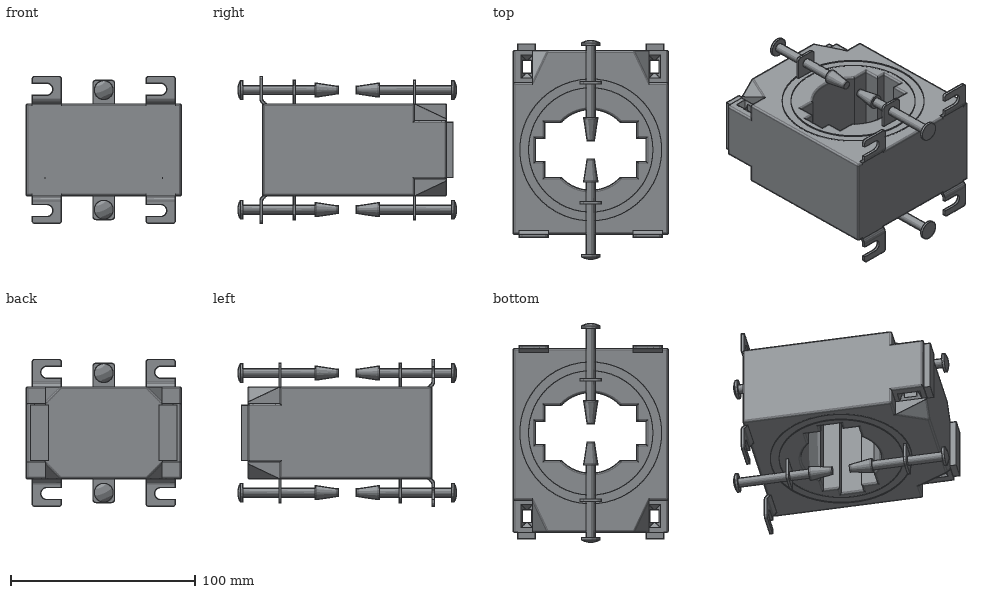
import cadquery as cq
import math


HOUSING_WIDTH = 84.5
HOUSING_LENGTH = 100.0
HOUSING_HEIGHT = 50.0
FRONT_Y = -45.9
REAR_Y = FRONT_Y + HOUSING_LENGTH
HALF_WIDTH = HOUSING_WIDTH / 2
HALF_HEIGHT = HOUSING_HEIGHT / 2
EDGE_RADIUS = 1.0

POCKET_WIDTH = 10.7
POCKET_LENGTH = 17.4
POCKET_DEPTH = 9.0
SLOPE_SIZE = 8.2
POCKET_INNER_X = HALF_WIDTH - POCKET_WIDTH
POCKET_FRONT_Y = REAR_Y - POCKET_LENGTH
POCKET_FLOOR_Z = HALF_HEIGHT - POCKET_DEPTH

FUNNEL_WIDTH = 6.3
FUNNEL_LENGTH = 12.5
FUNNEL_DEPTH = 5.0
FUNNEL_WALL_ANGLE = 60.0
FUNNEL_Y = 45.2
FUNNEL_X = POCKET_INNER_X + FUNNEL_WIDTH / 2
PASSAGE_WIDTH = 4.8
PASSAGE_LENGTH = 6.9

BORE_RADIUS = 21.9
WIDE_SLOT = (60.0, 12.4)
TALL_SLOT = (50.0, 29.8)

GROOVE_OUTER_RADIUS = 38.5
GROOVE_INNER_RADIUS = 33.8
GROOVE_DEPTH = 0.6

FOOT_WIDTH = 16.0
FOOT_LEFT_EDGES = (-38.9, 23.0)
FOOT_TOP_Z = 40.0
FOOT_THICKNESS = 1.5
FOOT_STEP = 1.5
FOOT_BEND_ANGLE = 45.0
FOOT_BEND_RADIUS = 2.7
FOOT_CORNER_RADIUS = 1.5
FOOT_SLOT_LENGTH = 11.2
FOOT_SLOT_WIDTH = 6.4
FOOT_SLOT_Z = 33.0

SCREW_Z = 32.5
SCREW_HALF_SPAN = 59.5
SHANK_RADIUS = 2.5
HEAD_RADIUS = 5.1
HEAD_HEIGHT = 2.7
HEAD_RIM = 1.3
TIP_Y = 4.9
TIP_RADIUS = 2.1
TIP_LENGTH = 0.8
CONE_LENGTH = 11.0
CONE_RADIUS = 3.8
COLLAR_LENGTH = 0.8
LUG_WIDTH = 11.9
LUG_TOP_Z = 38.0
LUG_THICKNESS = 1.3
LUG_CORNER_RADIUS = 1.9
FRONT_LUG_Y = -28.8
REAR_LUG_Y = 36.5

TERMINAL_WIDTH = 9.6
TERMINAL_DEPTH = 3.6
TERMINAL_HEIGHT = 30.2
TERMINAL_X = 34.9

TOLERANCE = 0.01

SIDES = (-1, 1)


def in_all_quarters(shape):
    """The shape with its mirror images about x = 0 and z = 0."""
    pair = shape.union(shape.mirror("YZ"))
    return pair.union(pair.mirror("XY"))


def corner_pocket():
    """Square-sided pocket removed at the rear, +X, +Z corner."""
    pocket = cq.Workplane("XY").box(POCKET_WIDTH, POCKET_LENGTH, POCKET_DEPTH, centered=False)
    return pocket.translate((POCKET_INNER_X, POCKET_FRONT_Y, POCKET_FLOOR_Z))


def corner_slope():
    """Tetrahedron that slopes the inner side of the corner pocket."""
    front = cq.Vector(POCKET_INNER_X, POCKET_FRONT_Y, HALF_HEIGHT)
    top = cq.Vector(POCKET_INNER_X, REAR_Y, HALF_HEIGHT)
    inner = top - cq.Vector(SLOPE_SIZE, 0, 0)
    lower = top - cq.Vector(0, 0, SLOPE_SIZE)
    triangles = (
        (front, top, inner),
        (front, top, lower),
        (top, inner, lower),
        (front, inner, lower),
    )
    faces = [cq.Face.makeFromWires(cq.Wire.makePolygon(points, close=True)) for points in triangles]
    return cq.Workplane(cq.Solid.makeSolid(cq.Shell.makeShell(faces)))


def is_outer_edge(edge):
    """Edges of the flat faces and of the sides, without the inner edges of the corner pockets."""
    box = edge.BoundingBox()
    on_flat = box.zlen < TOLERANCE and abs(abs(box.center.z) - HALF_HEIGHT) < TOLERANCE
    on_side = box.xlen < TOLERANCE and abs(abs(box.center.x) - HALF_WIDTH) < TOLERANCE
    on_pocket = box.xlen < TOLERANCE and abs(abs(box.center.x) - POCKET_INNER_X) < TOLERANCE
    return (on_flat or on_side) and not on_pocket


def is_slope_edge(edge):
    """Slanted edges where the corner slopes meet the flat faces and the rear face."""
    box = edge.BoundingBox()
    half_size = SLOPE_SIZE / 2
    on_flat = box.zlen < TOLERANCE and box.xlen > half_size and box.ylen > half_size
    on_rear = box.ylen < TOLERANCE and box.xlen > half_size and box.zlen > half_size
    in_flat = on_flat and abs(abs(box.center.z) - HALF_HEIGHT) < TOLERANCE
    return in_flat or on_rear


def round_edges(body, wanted):
    """The body with the edges that pass the test `wanted` filleted."""
    edges = [edge for edge in body.edges().vals() if wanted(edge)]
    return body.newObject(edges).fillet(EDGE_RADIUS)


def housing_block():
    """Rounded block with the four rear corner pockets and their slopes."""
    block = cq.Workplane("XY").box(HOUSING_WIDTH, HOUSING_LENGTH, HOUSING_HEIGHT)
    block = block.translate((0, (FRONT_Y + REAR_Y) / 2, 0))
    block = round_edges(block.cut(in_all_quarters(corner_pocket())), is_outer_edge)
    return round_edges(block.cut(in_all_quarters(corner_slope())), is_slope_edge)


def conductor_opening():
    """Cutter for the opening, running from flat face to flat face."""
    cutter = cq.Workplane("XY").circle(BORE_RADIUS).extrude(HOUSING_HEIGHT)
    for width, length in (WIDE_SLOT, TALL_SLOT):
        cutter = cutter.union(cq.Workplane("XY").rect(width, length).extrude(HOUSING_HEIGHT))
    return cutter.translate((0, 0, -HALF_HEIGHT))


def is_opening_rim(edge):
    """Edges of the flat faces that lie inside the ring groove."""
    box = edge.BoundingBox()
    on_flat = box.zlen < TOLERANCE and abs(abs(box.center.z) - HALF_HEIGHT) < TOLERANCE
    reach = max(abs(box.xmin), abs(box.xmax), abs(box.ymin), abs(box.ymax))
    return on_flat and reach < GROOVE_INNER_RADIUS - TOLERANCE


def ring_groove():
    """Shallow annular cutters in both flat faces."""
    ring = cq.Workplane("XY").circle(GROOVE_OUTER_RADIUS).circle(GROOVE_INNER_RADIUS)
    groove = ring.extrude(GROOVE_DEPTH).translate((0, 0, HALF_HEIGHT - GROOVE_DEPTH))
    return groove.union(groove.mirror("XY"))


def wire_funnel():
    """Hip-shaped funnel in one pocket floor, with its half of the straight passage below."""
    outline = cq.Workplane("XY").rect(FUNNEL_WIDTH, FUNNEL_LENGTH)
    funnel = outline.extrude(-FUNNEL_DEPTH, taper=90 - FUNNEL_WALL_ANGLE)
    passage = cq.Workplane("XY").rect(PASSAGE_WIDTH, PASSAGE_LENGTH).extrude(-POCKET_FLOOR_Z)
    return funnel.union(passage).translate((FUNNEL_X, FUNNEL_Y, POCKET_FLOOR_Z))


def foot_plate():
    """Bent plate of a foot: it steps forward at 45 degrees from the housing and then stands upright."""
    front_y = FRONT_Y - FOOT_STEP
    back_y = front_y + FOOT_THICKNESS
    front_bend_z = HALF_HEIGHT + FOOT_STEP
    back_bend_z = front_bend_z + FOOT_THICKNESS * math.tan(math.radians(FOOT_BEND_ANGLE / 2))
    root_z = HALF_HEIGHT - EDGE_RADIUS
    root_back_y = back_y + back_bend_z - HALF_HEIGHT
    profile = [
        (front_y, FOOT_TOP_Z),
        (front_y, front_bend_z),
        (FRONT_Y, HALF_HEIGHT),
        (FRONT_Y, root_z),
        (root_back_y, root_z),
        (root_back_y, HALF_HEIGHT),
        (back_y, back_bend_z),
        (back_y, FOOT_TOP_Z),
    ]
    plate = cq.Workplane("YZ").polyline(profile).close().extrude(FOOT_WIDTH)
    bends = (
        (front_y, front_bend_z, FOOT_BEND_RADIUS),
        (back_y, back_bend_z, FOOT_BEND_RADIUS - FOOT_THICKNESS),
    )
    for bend_y, bend_z, radius in bends:
        bend_edge = cq.selectors.NearestToPointSelector((FOOT_WIDTH / 2, bend_y, bend_z))
        plate = plate.edges(bend_edge).fillet(radius)
    return plate.faces(">Z").edges("|Y").fillet(FOOT_CORNER_RADIUS)


def mounting_foot():
    """Foot at the +Z side with its left edge at x = 0; its round-ended slot opens to the left."""
    straight = FOOT_SLOT_LENGTH - FOOT_SLOT_WIDTH / 2
    slot = (
        cq.Workplane("XZ", origin=(0, FRONT_Y, FOOT_SLOT_Z))
        .moveTo(0, FOOT_SLOT_WIDTH / 2)
        .lineTo(straight, FOOT_SLOT_WIDTH / 2)
        .threePointArc((FOOT_SLOT_LENGTH, 0), (straight, -FOOT_SLOT_WIDTH / 2))
        .lineTo(0, -FOOT_SLOT_WIDTH / 2)
        .close()
        .extrude(FOOT_STEP + FOOT_THICKNESS, both=True)
    )
    return foot_plate().cut(slot)


def clamping_screw():
    """Screw on the Y axis with its head at +Y and its tapered tip towards the opening centre."""
    cone_start = TIP_Y + TIP_LENGTH
    collar_start = cone_start + CONE_LENGTH
    shank_start = collar_start + COLLAR_LENGTH
    head_start = SCREW_HALF_SPAN - HEAD_HEIGHT
    dome_start = head_start + HEAD_RIM
    dome_height = SCREW_HALF_SPAN - dome_start
    dome_radius = (HEAD_RADIUS**2 + dome_height**2) / (2 * dome_height)
    dome_centre_y = SCREW_HALF_SPAN - dome_radius
    dome_mid_r = HEAD_RADIUS / 2
    dome_mid_y = dome_centre_y + math.sqrt(dome_radius**2 - dome_mid_r**2)
    return (
        cq.Workplane("YZ")
        .moveTo(TIP_Y, 0)
        .lineTo(TIP_Y, TIP_RADIUS)
        .lineTo(cone_start, TIP_RADIUS)
        .lineTo(collar_start, CONE_RADIUS)
        .lineTo(shank_start, CONE_RADIUS)
        .lineTo(shank_start, SHANK_RADIUS)
        .lineTo(head_start, SHANK_RADIUS)
        .lineTo(head_start, HEAD_RADIUS)
        .lineTo(dome_start, HEAD_RADIUS)
        .threePointArc((dome_mid_y, dome_mid_r), (SCREW_HALF_SPAN, 0))
        .close()
        .revolve(360, (0, 0, 0), (1, 0, 0))
        .translate((0, 0, SCREW_Z))
    )


def screw_lug(centre_y):
    """Upright lug on the +Z face that carries one screw."""
    height = LUG_TOP_Z - HALF_HEIGHT
    lug = cq.Workplane("XY").box(LUG_WIDTH, LUG_THICKNESS, height, centered=(True, True, False))
    lug = lug.faces(">Z").edges("|Y").fillet(LUG_CORNER_RADIUS)
    return lug.translate((0, centre_y, HALF_HEIGHT))


def front_clamp():
    """Lug and screw at the front, both standing on the +Z face."""
    return screw_lug(FRONT_LUG_Y).union(clamping_screw().mirror("XZ"))


def terminal_pad(centre_x):
    """Flat pad on the rear face."""
    pad = cq.Workplane("XY").box(TERMINAL_WIDTH, TERMINAL_DEPTH, TERMINAL_HEIGHT)
    return pad.translate((centre_x, REAR_Y + TERMINAL_DEPTH / 2, 0))


def make_housing():
    """Housing with its terminal pads, feet and front clamps in one piece."""
    housing = housing_block().cut(conductor_opening())
    housing = round_edges(housing, is_opening_rim)
    housing = housing.cut(ring_groove()).cut(in_all_quarters(wire_funnel()))
    for side in SIDES:
        housing = housing.union(terminal_pad(side * TERMINAL_X))
    top_fittings = [mounting_foot().translate((left_x, 0, 0)) for left_x in FOOT_LEFT_EDGES]
    top_fittings.append(front_clamp())
    for fitting in top_fittings:
        housing = housing.union(fitting).union(fitting.mirror("XY"))
    return housing


def make_rear_clamp(side):
    """Lug and screw above (side = 1) or below (side = -1) the ring groove.

    The lug ends level with the flat face, so the groove leaves it clear of the housing.
    """
    clamp = screw_lug(REAR_LUG_Y).union(clamping_screw())
    return clamp if side > 0 else clamp.mirror("XY")


housing = make_housing()
rear_clamps = [make_rear_clamp(side) for side in SIDES]

result = cq.Compound.makeCompound([housing.val(), *[clamp.val() for clamp in rear_clamps]])